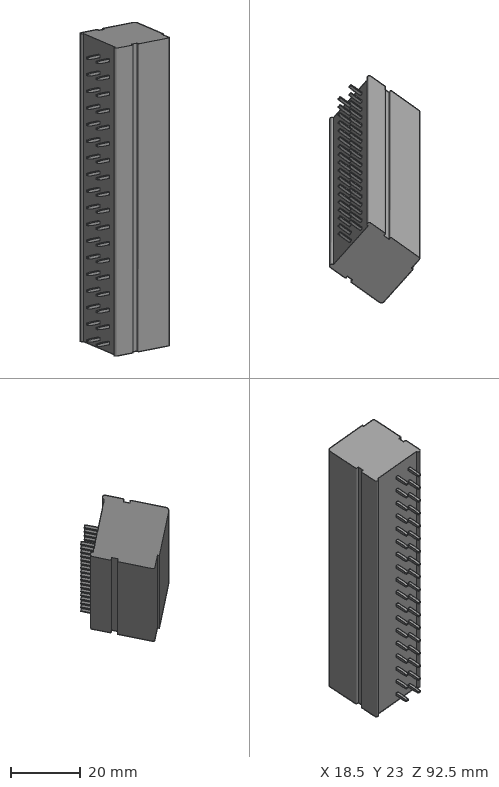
import cadquery as cq

length = 92.5
width = 18.5
half_width = width / 2
depth = 19.5
back_y = 0.0
foot_radius = 0.65
front_y = back_y - depth + foot_radius

step_x = 5.1
step_depth = 0.6
back_left_radius = 1.0
back_right_radius = 0.6

groove_depth = 0.8
groove_back_y = back_y - 11.5
groove_front_y = back_y - 13.3
groove_back_lip_radius = 0.2
groove_front_lip_radius = 0.4

pin_rows = 18
pin_pitch = 5.0
first_column_x = -0.1
pin_columns_x = (first_column_x, first_column_x + pin_pitch)
pin_size = 0.8
pin_root = 0.9
pin_tip_y = back_y - 23.0
pin_taper_length = 1.3
pin_tip_height = 0.5
first_pin_z = 2.9


def fillet_vertical_edge(body, x, y, radius):
    """Round the vertical edge of the body that passes through (x, y)."""
    edge = cq.NearestToPointSelector((x, y, length / 2))
    return body.edges(edge).fillet(radius)


def make_block():
    """Plain housing with the step in its back face and rounded back corners."""
    step_y = back_y - step_depth
    outline = [
        (-half_width, front_y),
        (half_width, front_y),
        (half_width, step_y),
        (step_x, step_y),
        (step_x, back_y),
        (-half_width, back_y),
    ]
    block = cq.Workplane("XY").polyline(outline).close().extrude(length)
    block = fillet_vertical_edge(block, -half_width, back_y, back_left_radius)
    return fillet_vertical_edge(block, half_width, step_y, back_right_radius)


def cut_groove(body, side):
    """Cut the groove in one side face (side is -1 or 1) and round its lips."""
    groove_width = groove_back_y - groove_front_y
    groove = (
        cq.Workplane("XY")
        .center(side * half_width, (groove_back_y + groove_front_y) / 2)
        .rect(2 * groove_depth, groove_width)
        .extrude(length)
    )
    body = body.cut(groove)
    outer_x = side * half_width
    body = fillet_vertical_edge(body, outer_x, groove_back_y, groove_back_lip_radius)
    return fillet_vertical_edge(body, outer_x, groove_front_y, groove_front_lip_radius)


def make_foot(side):
    """Half-round rib along one front corner, flush with the side face."""
    center_x = side * (half_width - foot_radius)
    return (
        cq.Workplane("XY")
        .moveTo(center_x - foot_radius, front_y)
        .threePointArc((center_x, front_y - foot_radius), (center_x + foot_radius, front_y))
        .close()
        .extrude(length)
    )


def make_pin(x, z):
    """Square pin whose top and bottom faces taper towards the tip."""
    half_size = pin_size / 2
    half_tip = pin_tip_height / 2
    root_y = front_y + pin_root
    taper_y = pin_tip_y + pin_taper_length
    profile = [
        (root_y, -half_size),
        (taper_y, -half_size),
        (pin_tip_y, -half_tip),
        (pin_tip_y, half_tip),
        (taper_y, half_size),
        (root_y, half_size),
    ]
    pin = cq.Workplane("YZ").polyline(profile).close().extrude(half_size, both=True)
    return pin.translate((x, 0, z))


result = make_block()
for side in (-1, 1):
    result = cut_groove(result, side)
    result = result.union(make_foot(side))

for column_x in pin_columns_x:
    for row in range(pin_rows):
        result = result.union(make_pin(column_x, first_pin_z + row * pin_pitch))